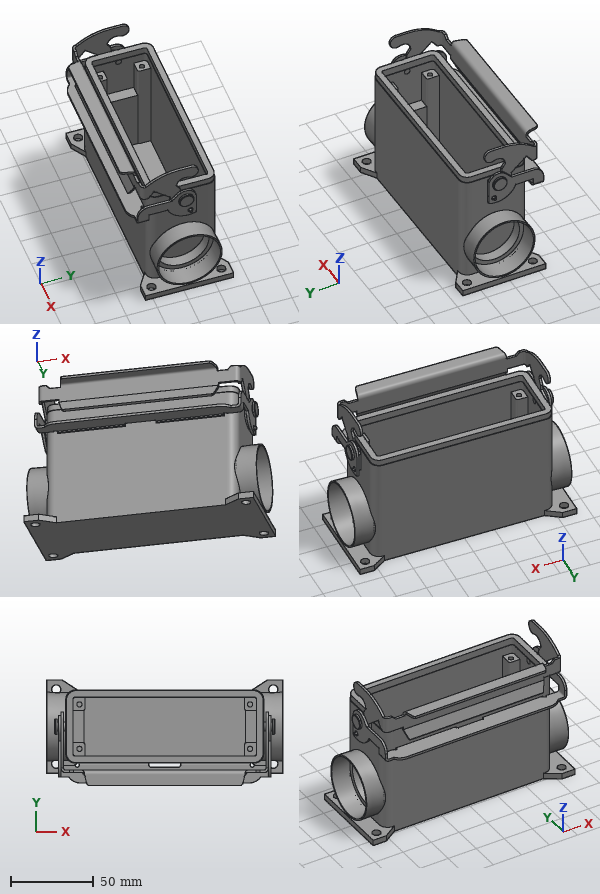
import cadquery as cq
import math


HALF_ROOT = math.sqrt(0.5)

LENGTH = 144.0
BODY_HALF_X = 60.3
BODY_HALF_Y = 22.3
BODY_HEIGHT = 80.2
CORNER_RADIUS = 6.0
RIM_STEP_Z = 76.2
RIM_STEP = 0.5
WALL = 4.5
FLOOR = 4.0
CAVITY_LIP_Z = 75.2
CAVITY_UNDERCUT = 0.3
MOUTH_CORNER_RADIUS = 1.5
CAVITY_CORNER_RADIUS = 2.2

FOOT_THICKNESS = 4.0
FOOT_HALF_Y = 28.5
FOOT_EAR_X = 62.6
FOOT_ROOT_X = 53.1
FOOT_HOLE_X = 66.1
FOOT_HOLE_Y = 22.6
FOOT_HOLE_RADIUS = 2.7

TUBE_RADIUS = 21.0
TUBE_ROOT_RADIUS = 20.6
TUBE_Z = 26.0
TUBE_BORE_RADIUS = 20.0
TUBE_BORE_DEPTH = 13.0
KNOCKOUT_RADIUS = 17.1
KNOCKOUT_DEPTH = 20.0
END_WALL_INNER_X = 49.1

POST_TOP_Z = 68.7
POST_INNER_X = 48.7
POST_INNER_Y = 9.8
POST_CORNER_RADIUS = 1.2
SCREW_X = 52.0
SCREW_Y = 13.5
SCREW_RADIUS = 1.6
SCREW_DEPTH = 14.4

SHEET = 1.6
HOOK_OUTER_X = 63.2
BAIL_OUTER_X = HOOK_OUTER_X + SHEET
PIVOT_Z = 73.2

TOP_Z = 98.0
NOSE_RADIUS = 4.3
NOSE_Y = 4.5
NOSE_Z = TOP_Z - NOSE_RADIUS
THROAT_RADIUS = 5.6
THROAT_Y = 0.3
THROAT_Z = 84.8
CREST_START_Y = -25.2
CREST_END_Y = -3.5
CREST_RADIUS = 35.3
NECK_Y = -2.9
NECK_TOP_Z = 81.2
NECK_BOTTOM_Z = 77.8
PIVOT_PLATE_BACK_Y = 6.0
PIVOT_PLATE_FRONT_Y = -9.4
PIVOT_PLATE_BACK_TOP_Z = 74.9
PIVOT_PLATE_FRONT_TOP_Z = 76.2
PIVOT_PLATE_BACK_BOTTOM_Z = 62.5
PIVOT_PLATE_FRONT_BOTTOM_Z = 66.2
PIVOT_PLATE_RADIUS = 12.1
NOTCH_Y = -19.7
NOTCH_Z = 85.1
NOTCH_FRONT_Y = -23.6
STRIP_FRONT_Y = -28.1
STRIP_BOTTOM_Z = 80.2
STRIP_TOP_Z = 90.6
STRIP_BEND_RADIUS = 2.9
BRIDGE_TOP_Z = 88.3
BRIDGE_HALF_X = 55.7
BRIDGE_SLOPE = STRIP_TOP_Z - BRIDGE_TOP_Z
GRIP_FRONT_Y = -36.0
GRIP_TOP_Z = 91.6
GRIP_BEND_RADIUS = 2.9
GRIP_CORNER = 1.2
GRIP_HALF_X = 49.5
SKIRT_BOTTOM_Z = 70.8
SKIRT_ANGLE = 25.0
SKIRT_BEND_Z = 78.0
SKIRT_CORNER_X = 1.3
SKIRT_CORNER_Z = 0.9
SKIRT_HALF_X = 50.1
GRIP_END_HALF_X = 46.4

EYE_RADIUS = 6.9
LOBE_CENTRE_Y = 1.7
LOBE_CENTRE_Z = 72.6
LOBE_RADIUS = 14.4
ARM_TOP_Z = 74.0
ARM_BOTTOM_Z = 67.1
ARM_FRONT_Y = -30.8
ARM_BACK_Y = -23.6
ELBOW_RADIUS = 7.2
TRAY_BOTTOM_Z = 60.9
TRAY_BEND_RADIUS = 2.7
TRAY_FRONT_Y = -34.4
TRAY_BULGE_START_X = 58.5
TRAY_BULGE_END_X = 51.3
TRAY_BULGE_RADIUS = 9.0
LIP_HALF_X = 52.3
LIP_BACK_Y = -BODY_HALF_Y
LIP_BOTTOM_Z = 60.0
LIP_BEND_RADIUS = 1.2
RELIEF_X = 53.3
RELIEF_Y = -23.5
RELIEF_RADIUS = 1.2
SLOT_HALF_X = 9.6
SLOT_FRONT_Y = -24.6
SLOT_CORNER = 0.7

PIN_RADIUS = 1.9
SHOULDER_RADIUS = 2.7
HEAD_RADIUS = 4.8
HEAD_INNER_X = 65.5
HEAD_OUTER_X = 67.1
HEAD_CHAMFER = 0.5
STUD_Y = 3.2
STUD_Z = 62.0
STUD_RADIUS = 0.79
STUD_HOLE_RADIUS = 1.6
STUD_OUTER_X = 66.2


def block(x0, x1, y0, y1, z0, z1):
    """Box between two opposite corners."""
    return cq.Workplane("XY").box(x1 - x0, y1 - y0, z1 - z0, centered=False).translate((x0, y0, z0))


def rod(x0, x1, y, z, radius):
    """Cylinder along X from x0 to x1."""
    return cq.Workplane("YZ", origin=(x0, y, z)).circle(radius).extrude(x1 - x0)


def with_mirror(shape, plane):
    """A shape together with its mirror image."""
    return shape.union(shape.mirror(plane))


def rounded_box(half_x, half_y, z0, z1, radius):
    """Box centred on the Z axis with rounded upright corners."""
    return block(-half_x, half_x, -half_y, half_y, z0, z1).edges("|Z").fillet(radius)


def housing_shell():
    lower = rounded_box(BODY_HALF_X, BODY_HALF_Y, 0, RIM_STEP_Z, CORNER_RADIUS)
    rim = rounded_box(
        BODY_HALF_X - RIM_STEP, BODY_HALF_Y - RIM_STEP, 0, BODY_HEIGHT, CORNER_RADIUS - RIM_STEP
    )
    return lower.union(rim)


def cavity():
    half_x = BODY_HALF_X - WALL
    half_y = BODY_HALF_Y - WALL
    mouth = rounded_box(half_x, half_y, FLOOR, BODY_HEIGHT, MOUTH_CORNER_RADIUS)
    chamber = rounded_box(
        half_x + CAVITY_UNDERCUT,
        half_y + CAVITY_UNDERCUT,
        FLOOR,
        CAVITY_LIP_Z,
        CAVITY_CORNER_RADIUS,
    )
    return mouth.union(chamber)


def foot():
    """Mounting foot with two ears and two holes at the -X end."""
    half_outline = [
        (-LENGTH / 2, FOOT_HALF_Y),
        (-FOOT_EAR_X, FOOT_HALF_Y),
        (-FOOT_ROOT_X, BODY_HALF_Y),
    ]
    other_half = [(x, -y) for x, y in reversed(half_outline)]
    plate = cq.Workplane("XY").polyline(half_outline + other_half).close().extrude(FOOT_THICKNESS)
    holes = (
        cq.Workplane("XY")
        .pushPoints([(-FOOT_HOLE_X, -FOOT_HOLE_Y), (-FOOT_HOLE_X, FOOT_HOLE_Y)])
        .circle(FOOT_HOLE_RADIUS)
        .extrude(FOOT_THICKNESS)
    )
    return plate.cut(holes)


def end_wall():
    """Thick part of the -X wall behind the cable tube."""
    half_y = BODY_HALF_Y - WALL / 2
    return block(-BODY_HALF_X + WALL / 2, -END_WALL_INNER_X, -half_y, half_y, 0, TUBE_Z + TUBE_RADIUS)


def tube():
    """Solid cable tube at the -X end, slightly wider at its mouth, reaching into the end wall."""
    mouth_x = -LENGTH / 2
    outside = [
        (mouth_x, 0),
        (mouth_x, TUBE_RADIUS),
        (-END_WALL_INNER_X, TUBE_ROOT_RADIUS),
        (-END_WALL_INNER_X, 0),
    ]
    profile = cq.Workplane("XZ", origin=(0, 0, TUBE_Z)).polyline(outside).close()
    return profile.revolve(360, (0, 0, 0), (1, 0, 0))


def tube_bores():
    """Stepped blind bore of the -X cable tube."""
    mouth_x = -LENGTH / 2
    bore = rod(mouth_x, mouth_x + TUBE_BORE_DEPTH, 0, TUBE_Z, TUBE_BORE_RADIUS)
    knockout = rod(mouth_x, mouth_x + KNOCKOUT_DEPTH, 0, TUBE_Z, KNOCKOUT_RADIUS)
    return bore.union(knockout)


def screw_post():
    """Corner post with a screw hole at -X, -Y."""
    post = (
        block(-BODY_HALF_X + WALL / 2, -POST_INNER_X, -BODY_HALF_Y + WALL / 2, -POST_INNER_Y, 0, POST_TOP_Z)
        .edges("|Z and >X and >Y")
        .fillet(POST_CORNER_RADIUS)
    )
    hole = (
        cq.Workplane("XY", origin=(-SCREW_X, -SCREW_Y, POST_TOP_Z)).circle(SCREW_RADIUS).extrude(-SCREW_DEPTH)
    )
    return post.cut(hole)


def make_housing():
    body = housing_shell().union(with_mirror(foot(), "YZ"))
    body = body.union(with_mirror(tube(), "YZ")).cut(cavity())
    body = body.union(with_mirror(end_wall(), "YZ"))
    body = body.union(with_mirror(with_mirror(screw_post(), "XZ"), "YZ"))
    body = body.cut(with_mirror(tube_bores(), "YZ"))
    pin_holes = rod(-BODY_HALF_X, -BODY_HALF_X + 2 * WALL, 0, PIVOT_Z, PIN_RADIUS)
    return body.cut(with_mirror(pin_holes, "YZ")).clean()


def hook_side():
    """Side outline of a hook plate and the strip end, extruded over the full width."""
    to_throat = math.atan2(THROAT_Z - NOSE_Z, THROAT_Y - NOSE_Y)
    throat_start = (NOSE_Y + NOSE_RADIUS * math.cos(to_throat), NOSE_Z + NOSE_RADIUS * math.sin(to_throat))
    throat_mid = (THROAT_Y - THROAT_RADIUS * HALF_ROOT, THROAT_Z + THROAT_RADIUS * HALF_ROOT)
    return (
        cq.Workplane("YZ", origin=(-HOOK_OUTER_X, 0, 0))
        .moveTo(STRIP_FRONT_Y, STRIP_BOTTOM_Z)
        .lineTo(STRIP_FRONT_Y, STRIP_TOP_Z)
        .lineTo(CREST_START_Y, STRIP_TOP_Z)
        .radiusArc((CREST_END_Y, TOP_Z), CREST_RADIUS)
        .lineTo(NOSE_Y, TOP_Z)
        .threePointArc((NOSE_Y + NOSE_RADIUS, NOSE_Z), throat_start)
        .threePointArc(throat_mid, (THROAT_Y - THROAT_RADIUS, THROAT_Z))
        .lineTo(NECK_Y, NECK_TOP_Z)
        .lineTo(NECK_Y, NECK_BOTTOM_Z)
        .lineTo(PIVOT_PLATE_BACK_Y, PIVOT_PLATE_BACK_TOP_Z)
        .lineTo(PIVOT_PLATE_BACK_Y, PIVOT_PLATE_BACK_BOTTOM_Z)
        .radiusArc((PIVOT_PLATE_FRONT_Y, PIVOT_PLATE_FRONT_BOTTOM_Z), PIVOT_PLATE_RADIUS)
        .lineTo(PIVOT_PLATE_FRONT_Y, PIVOT_PLATE_FRONT_TOP_Z)
        .lineTo(NOTCH_Y, NOTCH_Z)
        .lineTo(NOTCH_FRONT_Y, STRIP_BOTTOM_Z)
        .close()
        .extrude(2 * HOOK_OUTER_X)
    )


def hook_band():
    """U-shaped sheet seen from above, as tall as the whole lever."""
    inner_x = HOOK_OUTER_X - SHEET
    back_y = NOSE_Y + NOSE_RADIUS
    outer = block(-HOOK_OUTER_X, HOOK_OUTER_X, STRIP_FRONT_Y, back_y, 0, TOP_Z)
    outer = outer.edges("|Z and <Y").fillet(STRIP_BEND_RADIUS)
    inner = block(-inner_x, inner_x, STRIP_FRONT_Y + SHEET, back_y, 0, TOP_Z)
    inner = inner.edges("|Z and <Y").fillet(STRIP_BEND_RADIUS - SHEET)
    return outer.cut(inner)


def strip_recess():
    """Lowered stretch along the top edge of the front strip."""
    top_x = BRIDGE_HALF_X + BRIDGE_SLOPE
    return (
        cq.Workplane("XZ", origin=(0, STRIP_FRONT_Y + 2 * SHEET, 0))
        .polyline([
            (-top_x, STRIP_TOP_Z),
            (-BRIDGE_HALF_X, BRIDGE_TOP_Z),
            (BRIDGE_HALF_X, BRIDGE_TOP_Z),
            (top_x, STRIP_TOP_Z),
        ])
        .close()
        .extrude(4 * SHEET)
    )


def grip():
    """Flange bent forward from the top edge of the strip, narrowing towards its free edge."""
    bend_y = STRIP_FRONT_Y + SHEET
    profile = (
        block(-GRIP_HALF_X, GRIP_HALF_X, GRIP_FRONT_Y, bend_y, BRIDGE_TOP_Z, GRIP_TOP_Z)
        .edges("|X and >Y and >Z")
        .fillet(GRIP_BEND_RADIUS)
    )
    under = (
        block(-GRIP_HALF_X, GRIP_HALF_X, GRIP_FRONT_Y, STRIP_FRONT_Y, BRIDGE_TOP_Z, GRIP_TOP_Z - SHEET)
        .edges("|X and >Y and >Z")
        .fillet(GRIP_BEND_RADIUS - SHEET)
    )
    right_half = [
        (GRIP_HALF_X, bend_y),
        (GRIP_END_HALF_X + GRIP_CORNER, GRIP_FRONT_Y + GRIP_CORNER),
        (GRIP_END_HALF_X, GRIP_FRONT_Y),
    ]
    left_half = [(-x, y) for x, y in reversed(right_half)]
    outline = cq.Workplane("XY").polyline(right_half + left_half).close().extrude(TOP_Z)
    return profile.cut(under).intersect(outline)


def skirt():
    """Tongue bent down and outward from the bottom edge of the strip."""
    lean = math.radians(SKIRT_ANGLE)
    drop = SKIRT_BEND_Z - SKIRT_BOTTOM_Z
    back_y = STRIP_FRONT_Y + SHEET
    tip = (back_y - drop * math.tan(lean), SKIRT_BOTTOM_Z)
    tip_outer = (tip[0] - SHEET * math.cos(lean), tip[1] + SHEET * math.sin(lean))
    bend_outer_z = SKIRT_BEND_Z + SHEET * math.tan(lean / 2)
    sheet = (
        cq.Workplane("YZ", origin=(-SKIRT_HALF_X, 0, 0))
        .polyline([
            (back_y, STRIP_BOTTOM_Z),
            (back_y, SKIRT_BEND_Z),
            tip,
            tip_outer,
            (STRIP_FRONT_Y, bend_outer_z),
            (STRIP_FRONT_Y, STRIP_BOTTOM_Z),
        ])
        .close()
        .extrude(2 * SKIRT_HALF_X)
    )
    right_half = [
        (SKIRT_HALF_X, STRIP_BOTTOM_Z),
        (SKIRT_HALF_X, SKIRT_BEND_Z),
        (GRIP_END_HALF_X + SKIRT_CORNER_X, SKIRT_BOTTOM_Z + SKIRT_CORNER_Z),
        (GRIP_END_HALF_X, SKIRT_BOTTOM_Z),
    ]
    left_half = [(-x, z) for x, z in reversed(right_half)]
    outline = cq.Workplane("XZ").polyline(right_half + left_half).close().extrude(-GRIP_FRONT_Y)
    return sheet.intersect(outline)


def hook_lever():
    plates = hook_side().intersect(hook_band()).cut(strip_recess())
    return plates.union(grip()).union(skirt())


def bail_arm():
    """Arm plate at the -X side with the eye around the pivot and the hole around the stop stud."""
    bend_top_z = TRAY_BOTTOM_Z + TRAY_BEND_RADIUS
    lobe_front_z = ARM_BOTTOM_Z - LOBE_CENTRE_Z
    lobe_front_y = LOBE_CENTRE_Y - math.sqrt(LOBE_RADIUS**2 - lobe_front_z**2)
    lobe_back_z = LOBE_CENTRE_Z - math.sqrt(LOBE_RADIUS**2 - (EYE_RADIUS - LOBE_CENTRE_Y) ** 2)
    eye_front = (-EYE_RADIUS * HALF_ROOT, PIVOT_Z + EYE_RADIUS * HALF_ROOT)
    elbow_y = ARM_FRONT_Y + ELBOW_RADIUS
    elbow_z = ARM_TOP_Z - ELBOW_RADIUS
    elbow_mid = (elbow_y - ELBOW_RADIUS * HALF_ROOT, elbow_z + ELBOW_RADIUS * HALF_ROOT)
    neck_y = eye_front[0] - (eye_front[1] - ARM_TOP_Z)
    arm = (
        cq.Workplane("YZ", origin=(-BAIL_OUTER_X, 0, 0))
        .moveTo(EYE_RADIUS, lobe_back_z)
        .lineTo(EYE_RADIUS, PIVOT_Z)
        .threePointArc((0, PIVOT_Z + EYE_RADIUS), eye_front)
        .lineTo(neck_y, ARM_TOP_Z)
        .lineTo(elbow_y, ARM_TOP_Z)
        .threePointArc(elbow_mid, (ARM_FRONT_Y, elbow_z))
        .lineTo(ARM_FRONT_Y, bend_top_z)
        .lineTo(ARM_BACK_Y, bend_top_z)
        .lineTo(ARM_BACK_Y, ARM_BOTTOM_Z)
        .lineTo(lobe_front_y, ARM_BOTTOM_Z)
        .threePointArc((LOBE_CENTRE_Y, LOBE_CENTRE_Z - LOBE_RADIUS), (EYE_RADIUS, lobe_back_z))
        .close()
        .extrude(SHEET)
    )
    return arm.cut(rod(-BAIL_OUTER_X, -HOOK_OUTER_X, STUD_Y, STUD_Z, STUD_HOLE_RADIUS))


def tray_channel():
    """Part of the tray between the arms, with its ends bent up into them."""
    inner_x = BAIL_OUTER_X - SHEET
    outer = block(-BAIL_OUTER_X, BAIL_OUTER_X, ARM_FRONT_Y, ARM_BACK_Y, TRAY_BOTTOM_Z, ARM_BOTTOM_Z)
    outer = outer.edges("|Y and <Z").fillet(TRAY_BEND_RADIUS)
    inner = block(-inner_x, inner_x, ARM_FRONT_Y, ARM_BACK_Y, TRAY_BOTTOM_Z + SHEET, ARM_BOTTOM_Z)
    inner = inner.edges("|Y and <Z").fillet(TRAY_BEND_RADIUS - SHEET)
    return outer.cut(inner)


def tray_apron():
    """Curved-ended part of the tray in front of the arms."""
    return (
        cq.Workplane("XY", origin=(0, 0, TRAY_BOTTOM_Z))
        .moveTo(-TRAY_BULGE_START_X, ARM_FRONT_Y)
        .radiusArc((-TRAY_BULGE_END_X, TRAY_FRONT_Y), -TRAY_BULGE_RADIUS)
        .lineTo(TRAY_BULGE_END_X, TRAY_FRONT_Y)
        .radiusArc((TRAY_BULGE_START_X, ARM_FRONT_Y), -TRAY_BULGE_RADIUS)
        .close()
        .extrude(SHEET)
    )


def tray_openings():
    """Middle slot and the two round reliefs at the ends of the turned-down lip."""
    bottom_z = TRAY_BOTTOM_Z - SHEET
    top_z = TRAY_BOTTOM_Z + SHEET
    slot = (
        block(-SLOT_HALF_X, SLOT_HALF_X, SLOT_FRONT_Y, LIP_BACK_Y, bottom_z, top_z)
        .edges("|Z and <Y")
        .chamfer(SLOT_CORNER)
    )
    reliefs = (
        cq.Workplane("XY", origin=(0, 0, bottom_z))
        .pushPoints([(-RELIEF_X, RELIEF_Y), (RELIEF_X, RELIEF_Y)])
        .circle(RELIEF_RADIUS)
        .extrude(top_z - bottom_z)
    )
    return slot.union(reliefs)


def tray_lip():
    """Lip along the back edge of the tray, turned down against the housing."""
    top_z = TRAY_BOTTOM_Z + SHEET
    lip = block(-LIP_HALF_X, LIP_HALF_X, ARM_BACK_Y, LIP_BACK_Y, LIP_BOTTOM_Z, top_z)
    return lip.edges("|X and >Y and >Z").fillet(LIP_BEND_RADIUS)


def bail_lever():
    tray = tray_channel().union(tray_apron()).union(tray_lip()).cut(tray_openings())
    return tray.union(with_mirror(bail_arm(), "YZ"))


def pivot_pin():
    wall_inner_x = BODY_HALF_X - WALL + CAVITY_UNDERCUT
    shank = rod(-HEAD_INNER_X, -wall_inner_x, 0, PIVOT_Z, PIN_RADIUS)
    shoulder = rod(-HEAD_INNER_X, -BODY_HALF_X, 0, PIVOT_Z, SHOULDER_RADIUS)
    head = rod(-HEAD_OUTER_X, -HEAD_INNER_X, 0, PIVOT_Z, HEAD_RADIUS).faces("<X").chamfer(HEAD_CHAMFER)
    return shank.union(shoulder).union(head)


def make_lever():
    stud = rod(-STUD_OUTER_X, -HOOK_OUTER_X + SHEET, STUD_Y, STUD_Z, STUD_RADIUS)
    fittings = with_mirror(pivot_pin().union(stud), "YZ")
    return hook_lever().union(bail_lever()).union(fittings).clean()


housing = make_housing()
lever = make_lever()
result = cq.Compound.makeCompound([*housing.solids().vals(), *lever.solids().vals()])